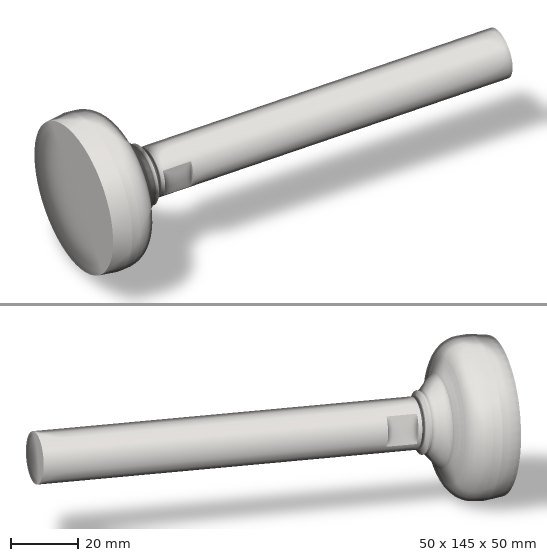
import cadquery as cq

TOTAL_LENGTH = 145.0

BOTTOM_RADIUS = 24.2
RIM_RADIUS = 25.0
RIM_HEIGHT = 6.1
ROUND_START_HEIGHT = 9.1
ROUND_START_RADIUS = 24.8
ROUND_MIDDLE_HEIGHT = 13.7
ROUND_MIDDLE_RADIUS = 22.8
SHOULDER_HEIGHT = 15.75
SHOULDER_RADIUS = 19.6
FLARE_MIDDLE_HEIGHT = 16.75
FLARE_MIDDLE_RADIUS = 16.7
CONE_HEIGHT = 17.95
CONE_RADIUS = 14.2
FOOT_HEIGHT = 19.25
FOOT_TOP_RADIUS = CONE_RADIUS - (FOOT_HEIGHT - CONE_HEIGHT)

HEAD_TOP_HEIGHT = 22.7
HEAD_TOP_RADIUS = FOOT_TOP_RADIUS - (HEAD_TOP_HEIGHT - FOOT_HEIGHT)
COLLAR_RIM_HEIGHT = 23.65
COLLAR_RIM_RADIUS = 9.7
COLLAR_TOP_HEIGHT = 24.5
COLLAR_TOP_RADIUS = 8.2
NECK_RADIUS = 6.5
SHAFT_RADIUS = 8.0
SHAFT_START = 25.5
FLATS_START = 26.7
FLATS_END = 36.3
FLATS_WIDTH = 13.0


def revolve_about_y(outline):
    return outline.close().revolve(360, (0, 0, 0), (0, 1, 0))


def make_foot():
    outline = (
        cq.Workplane("ZY")
        .lineTo(BOTTOM_RADIUS, 0)
        .lineTo(RIM_RADIUS, RIM_HEIGHT)
        .lineTo(ROUND_START_RADIUS, ROUND_START_HEIGHT)
        .threePointArc((ROUND_MIDDLE_RADIUS, ROUND_MIDDLE_HEIGHT), (SHOULDER_RADIUS, SHOULDER_HEIGHT))
        .threePointArc((FLARE_MIDDLE_RADIUS, FLARE_MIDDLE_HEIGHT), (CONE_RADIUS, CONE_HEIGHT))
        .lineTo(FOOT_TOP_RADIUS, FOOT_HEIGHT)
        .lineTo(0, FOOT_HEIGHT)
    )
    return revolve_about_y(outline)


def make_spindle():
    outline = (
        cq.Workplane("ZY")
        .moveTo(0, FOOT_HEIGHT)
        .lineTo(FOOT_TOP_RADIUS, FOOT_HEIGHT)
        .lineTo(HEAD_TOP_RADIUS, HEAD_TOP_HEIGHT)
        .lineTo(COLLAR_RIM_RADIUS, COLLAR_RIM_HEIGHT)
        .lineTo(COLLAR_TOP_RADIUS, COLLAR_TOP_HEIGHT)
        .lineTo(NECK_RADIUS, COLLAR_TOP_HEIGHT)
        .lineTo(NECK_RADIUS, SHAFT_START)
        .lineTo(SHAFT_RADIUS, SHAFT_START)
        .lineTo(SHAFT_RADIUS, TOTAL_LENGTH)
        .lineTo(0, TOTAL_LENGTH)
    )
    spindle = revolve_about_y(outline)
    flats_length = FLATS_END - FLATS_START
    flats_center = (FLATS_START + FLATS_END) / 2
    for side in (-1, 1):
        block_center = side * (FLATS_WIDTH / 2 + SHAFT_RADIUS / 2)
        block = cq.Workplane("XY").box(SHAFT_RADIUS, flats_length, 2 * SHAFT_RADIUS)
        spindle = spindle.cut(block.translate((block_center, flats_center, 0)))
    return spindle


foot = make_foot()
spindle = make_spindle()

result = cq.Compound.makeCompound([foot.val(), spindle.val()])